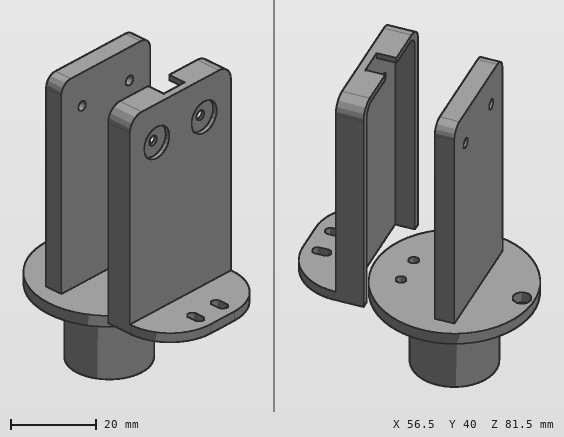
import cadquery as cq

total_height = 81.5
stem_diameter = 21.0
stem_length = 20.0
disc_diameter = 40.0
disc_thickness = 3.0
disc_top = stem_length + disc_thickness

cable_hole_diameter = 4.3
cable_hole_x = -16.95
screw_diameter = 2.5
disc_screw_x = 11.8
lower_hole_spacing = 8.0

plate_left = -6.0
plate_thickness = 5.0
plate_width = 30.0
plate_height = 57.05
plate_corner_radius = 3.2

upper_screw_spacing = 16.0
upper_screw_z = 71.0
counterbore_diameter = 8.5
counterbore_depth = 1.2

cover_left = 16.0
cover_depth = 7.0
cover_right = cover_left + cover_depth
cover_width = 34.1
cover_height = total_height - disc_top
cover_corner_radius = 4.0
cover_side_wall = (cover_width - plate_width) / 2
cover_top_wall = cover_height - plate_height
cover_back_wall = 2.0
cavity_depth = cover_depth - cover_back_wall
notch_width = 7.0

overall_length = 56.5
foot_right = overall_length - disc_diameter / 2
foot_thickness = 2.5
foot_corner_radius = 13.0
slot_length = 4.65
slot_x = 31.7


def rounded_upright(left, thickness, width, height, radius):
    """Slab standing on the disc plane, with its two top corners rounded."""
    slab = cq.Workplane("XY").box(thickness, width, height, centered=(False, True, False))
    return slab.edges("|X and >Z").fillet(radius).translate((left, 0, disc_top))


def upper_screw_holes():
    """Pair of cutters along X, long enough to cross both bodies."""
    return (
        cq.Workplane("YZ", origin=(-disc_diameter / 2, 0, upper_screw_z))
        .rarray(upper_screw_spacing, 0.8, 2, 1)
        .circle(screw_diameter / 2)
        .extrude(overall_length)
    )


def cover_counterbores():
    """Pair of screw-head recesses in the outer face of the cover."""
    return (
        cq.Workplane("YZ", origin=(cover_right - counterbore_depth, 0, upper_screw_z))
        .rarray(upper_screw_spacing, 0.8, 2, 1)
        .circle(counterbore_diameter / 2)
        .extrude(counterbore_depth)
    )


def make_base():
    """Stem, disc and upright plate."""
    stem = cq.Workplane("XY").circle(stem_diameter / 2).extrude(stem_length)
    disc = (
        cq.Workplane("XY", origin=(0, 0, stem_length))
        .circle(disc_diameter / 2)
        .extrude(disc_thickness)
    )
    cable_hole = (
        cq.Workplane("XY", origin=(cable_hole_x, 0, stem_length))
        .circle(cable_hole_diameter / 2)
        .extrude(disc_thickness)
    )
    disc_screws = (
        cq.Workplane("XY", origin=(disc_screw_x, 0, stem_length))
        .rarray(0.8, lower_hole_spacing, 1, 2)
        .circle(screw_diameter / 2)
        .extrude(disc_thickness)
    )
    plate = rounded_upright(plate_left, plate_thickness, plate_width, plate_height, plate_corner_radius)
    disc = disc.cut(cable_hole).cut(disc_screws)
    return stem.union(disc).union(plate.cut(upper_screw_holes()))


def make_foot():
    """Mounting foot with rounded outer corners and two slots."""
    foot_length = foot_right - cover_right
    foot = (
        cq.Workplane("XY", origin=(cover_right, 0, disc_top))
        .box(foot_length, cover_width, foot_thickness, centered=(False, True, False))
        .edges("|Z and >X")
        .fillet(foot_corner_radius)
    )
    slots = (
        cq.Workplane("XY", origin=(slot_x, 0, disc_top))
        .rarray(0.8, lower_hole_spacing, 1, 2)
        .slot2D(slot_length, screw_diameter)
        .extrude(foot_thickness)
    )
    return foot.cut(slots)


def make_cover():
    """Shell with a notched top wall, counterbored screw holes and a mounting foot."""
    shell = rounded_upright(cover_left, cover_depth, cover_width, cover_height, cover_corner_radius)
    cavity = rounded_upright(
        cover_left,
        cavity_depth,
        cover_width - 2 * cover_side_wall,
        cover_height - cover_top_wall,
        plate_corner_radius,
    )
    notch = cq.Workplane("XY", origin=(cover_left, 0, disc_top)).box(
        cavity_depth, notch_width, cover_height, centered=(False, True, False)
    )
    shell = shell.cut(cavity).cut(notch).cut(upper_screw_holes()).cut(cover_counterbores())
    return shell.union(make_foot())


base = make_base()
cover = make_cover()

result = cq.Compound.makeCompound([base.val(), cover.val()])